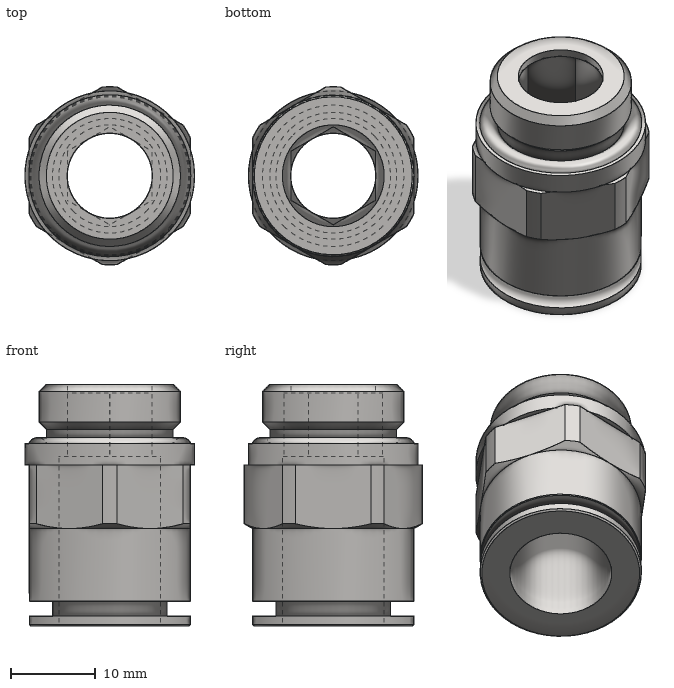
import cadquery as cq
import math

release_flange_top = 1.2
body_bottom = 2.9
hex_bottom = 11.5
hex_top = 19.0
tube_bore_top = 20.0
collar_top = 21.5
seal_top = 22.23
thread_bottom = 24.05
total_height = 28.5

body_diameter = 19.0
release_neck_diameter = 13.5
hex_across_flats = 19.0
hex_corner_diameter = 21.0
collar_diameter = 20.0
seal_diameter = 19.1
thread_neck_diameter = 14.95
thread_diameter = 16.66
bore_diameter = 10.0
tube_bore_diameter = 12.0
socket_across_flats = 10.0

release_flange_chamfer = 0.2
body_chamfer = 0.1
hex_chamfer_angle = 30.0
bore_mouth_depth = 1.0

HEX_SIDES = 6
HEX_START_ANGLE = 90.0


def cylinder(diameter, bottom, top):
    return cq.Workplane("XY").workplane(offset=bottom).circle(diameter / 2).extrude(top - bottom)


def hexagon(across_flats, bottom, top):
    corner_radius = across_flats / 2 / math.cos(math.pi / HEX_SIDES)
    corners = []
    for side in range(HEX_SIDES):
        angle = math.radians(HEX_START_ANGLE + side * 360 / HEX_SIDES)
        corners.append((corner_radius * math.cos(angle), corner_radius * math.sin(angle)))
    return cq.Workplane("XY").workplane(offset=bottom).polyline(corners).close().extrude(top - bottom)


def revolve_about_z(profile):
    return profile.close().revolve(360, (0, 0, 0), (0, 1, 0))


def release_ring():
    """Push ring at the bottom: a thin flange on a narrower neck."""
    flange = cylinder(body_diameter, 0, release_flange_top)
    flange = flange.faces("<Z").chamfer(release_flange_chamfer)
    return flange.union(cylinder(release_neck_diameter, 0, body_bottom))


def body():
    """Round sleeve that carries the hexagon and the collar."""
    sleeve = cylinder(body_diameter, body_bottom, hex_top)
    return sleeve.faces("<Z").chamfer(body_chamfer)


def wrench_hexagon():
    """Hexagon with turned corners and a conical chamfer on its lower edge."""
    flat_radius = hex_across_flats / 2
    corner_radius = hex_corner_diameter / 2
    chamfer_height = (corner_radius - flat_radius) * math.tan(math.radians(hex_chamfer_angle))
    turned_blank = revolve_about_z(
        cq.Workplane("XZ")
        .moveTo(0, hex_bottom)
        .lineTo(flat_radius, hex_bottom)
        .lineTo(corner_radius, hex_bottom + chamfer_height)
        .lineTo(corner_radius, hex_top)
        .lineTo(0, hex_top)
    )
    return hexagon(hex_across_flats, hex_bottom, hex_top).intersect(turned_blank)


def seal_ring():
    """Domed O-ring surface that lies on the collar and surrounds the neck."""
    inner_radius = thread_neck_diameter / 2
    outer_radius = seal_diameter / 2
    crest_radius = (inner_radius + outer_radius) / 2
    return revolve_about_z(
        cq.Workplane("XZ")
        .moveTo(inner_radius, collar_top)
        .threePointArc((crest_radius, seal_top), (outer_radius, collar_top))
    )


def threaded_end():
    """Plain thread cylinder, chamfered at 45 degrees down to the neck on both ends."""
    thread_chamfer = (thread_diameter - thread_neck_diameter) / 2
    neck_top = thread_bottom - thread_chamfer
    thread = cylinder(thread_diameter, neck_top, total_height).edges().chamfer(thread_chamfer)
    return thread.union(cylinder(thread_neck_diameter, collar_top, neck_top))


def passage():
    """Through passage: round mouth at the top, hexagonal socket, then the tube bore from below."""
    mouth_bottom = total_height - bore_mouth_depth
    mouth = cylinder(bore_diameter, mouth_bottom, total_height)
    socket = hexagon(socket_across_flats, tube_bore_top, mouth_bottom)
    tube_bore = cylinder(tube_bore_diameter, 0, tube_bore_top)
    return tube_bore.union(socket).union(mouth)


result = (
    release_ring()
    .union(body())
    .union(wrench_hexagon())
    .union(cylinder(collar_diameter, hex_top, collar_top))
    .union(seal_ring())
    .union(threaded_end())
    .cut(passage())
)